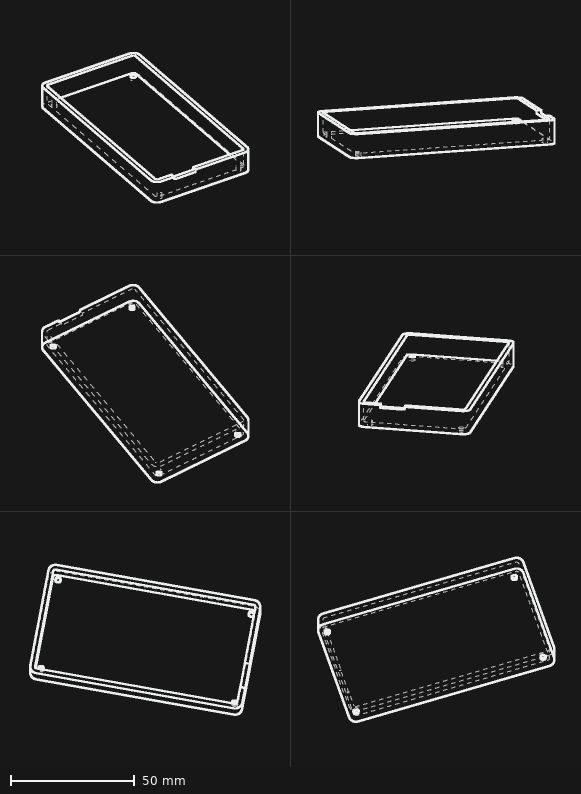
import cadquery as cq

length = 87.0
width = 46.0
height = 9.9
corner_radius = 3.0

wall = 2.0
floor = 1.6
cavity_height = height - floor
cavity_corner_radius = corner_radius - wall

hole_diameter = 2.2
hole_spacing_x = 79.35
hole_spacing_y = 37.8
hole_grid_center = (0.35, 0.35)

notch_width = 10.2
notch_depth = 1.2
notch_center_y = -8.6
notch_corner_radius = 0.5


def rounded_block(size_x, size_y, size_z, radius, base_z):
    """Block standing on base_z with rounded vertical edges."""
    block = cq.Workplane("XY").box(size_x, size_y, size_z, centered=(True, True, False))
    return block.edges("|Z").fillet(radius).translate((0, 0, base_z))


def screw_holes():
    """Four cylinders that pass through the floor."""
    return (
        cq.Workplane("XY")
        .center(*hole_grid_center)
        .rect(hole_spacing_x, hole_spacing_y, forConstruction=True)
        .vertices()
        .circle(hole_diameter / 2)
        .extrude(floor)
    )


def rim_notch():
    """Shallow cut through the +X wall, with rounded corners at its bottom."""
    block = cq.Workplane("XY").box(wall, notch_width, notch_depth)
    block = block.edges("|X and <Z").fillet(notch_corner_radius)
    return block.translate(((length - wall) / 2, notch_center_y, height - notch_depth / 2))


tray = rounded_block(length, width, height, corner_radius, 0)
cavity = rounded_block(
    length - 2 * wall, width - 2 * wall, cavity_height, cavity_corner_radius, floor
)
result = tray.cut(cavity).cut(screw_holes()).cut(rim_notch())